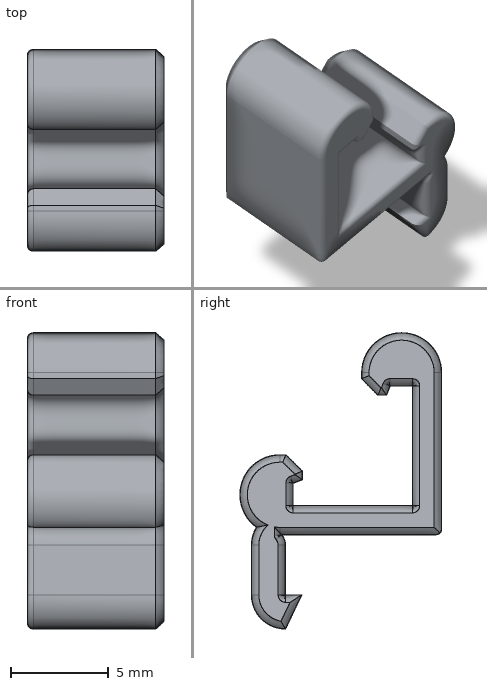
import cadquery as cq
import math

length = 7.0
depth = 10.35
height = 15.19

wall = 1.5
floor_bottom = 4.83
floor_top = floor_bottom + wall

bead_radius = 2.05
bead_inner_offset = 0.68
catch_land = 0.3
catch_reach = 1.15
catch_tip_outer = 1.22
catch_tip_inner = 0.77
catch_root = 0.6
back_bead = (bead_radius, height - bead_radius)
front_bead = (depth - bead_radius, floor_bottom + bead_radius)

arm_thickness = 1.75
arm_outer = 9.75
arm_inner = arm_outer - arm_thickness
arm_low = arm_thickness
arm_high = 4.3
arm_shoulder_radius = 0.82
barb_tip = 7.17

edge_fillet = 0.3
end_chamfer_length = 0.43
end_chamfer_inset = 0.38


def polar(centre, radius, angle):
    """Point on a circle, with the angle in radians."""
    return (centre[0] + radius * math.cos(angle), centre[1] + radius * math.sin(angle))


def catch_points(centre, swapped):
    """Catch outline from the end of the bead arc to its root; swapped mirrors it about 45 degrees."""
    offsets = [
        (bead_radius, -catch_land),
        (catch_tip_outer, -catch_reach),
        (catch_tip_inner, -catch_reach),
        (catch_root, -bead_inner_offset),
    ]
    if swapped:
        offsets = [(v, u) for u, v in offsets]
    return [(centre[0] + u, centre[1] + v) for u, v in offsets]


def outline_start(u, v):
    """Start an outline: u runs from the back of the part towards -Y, v runs along Z."""
    plane = cq.Plane(origin=(0, 0, 0), xDir=(0, -1, 0), normal=(-1, 0, 0))
    return cq.Workplane(plane).moveTo(u, v)


def extrude_with_taper(outline):
    """Extrude an outline along +X, narrowing it all around over the last stretch."""
    straight = length - end_chamfer_length
    taper = math.degrees(math.atan(end_chamfer_inset / end_chamfer_length))
    wire = outline.close().val()
    end_wire = wire.translate(cq.Vector(straight, 0, 0))
    body = cq.Solid.extrudeLinear(wire, [], cq.Vector(straight, 0, 0))
    end = cq.Solid.extrudeLinear(end_wire, [], cq.Vector(end_chamfer_length, 0, 0), taper)
    return cq.Workplane(body).union(cq.Workplane(end))


def round_near_end(body):
    """Round all edges of the -X face."""
    return body.faces("<X").edges().fillet(edge_fillet)


def make_channel():
    """Back wall, floor and the two beads with their catches."""
    outline = outline_start(0, floor_bottom).lineTo(0, back_bead[1])
    outline = outline.threePointArc((back_bead[0], height), (2 * bead_radius, back_bead[1]))
    for point in catch_points(back_bead, False):
        outline = outline.lineTo(*point)
    outline = outline.lineTo(wall, back_bead[1] - bead_inner_offset)
    outline = outline.lineTo(wall, floor_top)
    outline = outline.lineTo(front_bead[0] - bead_inner_offset, floor_top)
    for point in reversed(catch_points(front_bead, True)):
        outline = outline.lineTo(*point)
    outline = outline.lineTo(front_bead[0], front_bead[1] + bead_radius)
    outline = outline.threePointArc((depth, front_bead[1]), (front_bead[0], floor_bottom))
    channel = extrude_with_taper(outline)

    corner = outline_start(0, floor_bottom + edge_fillet).lineTo(0, floor_bottom)
    corner = corner.lineTo(edge_fillet, floor_bottom)
    middle = polar((edge_fillet, floor_bottom + edge_fillet), edge_fillet, -3 * math.pi / 4)
    corner = corner.threePointArc(middle, (0, floor_bottom + edge_fillet)).close().extrude(-length)
    return round_near_end(channel.cut(corner))


def make_arm():
    """Clip arm with its barb; its upper end is buried in the floor and the front bead."""
    top_centre = (arm_inner, arm_high)
    tip_centre = (arm_inner, arm_low)
    shoulder_centre = (arm_inner + arm_shoulder_radius, arm_high)
    shoulder_angle = math.pi - math.asin((floor_bottom - arm_high) / arm_shoulder_radius)
    shoulder_end = polar(shoulder_centre, arm_shoulder_radius, shoulder_angle)
    top_angle = math.acos((shoulder_end[0] - arm_inner) / arm_thickness)

    outline = outline_start(*shoulder_end).lineTo(*polar(top_centre, arm_thickness, top_angle))
    outline = outline.threePointArc(polar(top_centre, arm_thickness, top_angle / 2), (arm_outer, arm_high))
    outline = outline.lineTo(arm_outer, arm_low)
    outline = outline.threePointArc(polar(tip_centre, arm_thickness, -math.pi / 4), (arm_inner, 0))
    outline = outline.lineTo(barb_tip, arm_low).lineTo(arm_inner, arm_low).lineTo(arm_inner, arm_high)
    outline = outline.threePointArc(
        polar(shoulder_centre, arm_shoulder_radius, (math.pi + shoulder_angle) / 2), shoulder_end
    )
    return round_near_end(extrude_with_taper(outline))


result = make_channel().union(make_arm())